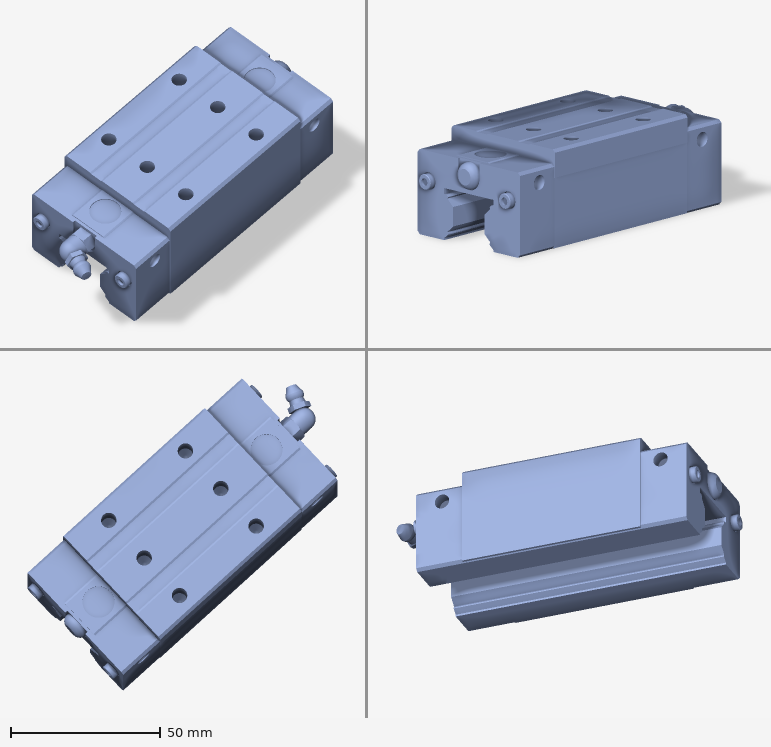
import cadquery as cq
import math


block_half_width = 24.0
block_length = 64.4
block_bottom = 0.3
block_top = 34.5
edge_chamfer = 1.0
side_relief = 0.2
side_relief_top = 24.8

groove_depth = 0.3
groove_wall_run = 0.7
groove_outer_edge = 12.5
strip_half_width = 6.9

cap_half_width = 23.6
cap_top = 29.5
body_length = 97.7
seal_thickness = 2.0
body_end = body_length / 2
seal_inner = body_end - seal_thickness

channel_half_width = 11.4
channel_top = 18.0
channel_ledge = 15.9
ledge_half_width = 10.4
rail_gap_half = 7.3
rail_gap_top = 12.2
rail_gap_bottom = 5.4
notch_root = 9.9
notch_lip = 9.6
upper_root_z = 14.6
upper_lip_z = 15.2
lower_root_z = 3.0
lower_lip_top = 2.5
lower_lip_bottom = 2.1
channel_mouth = 0.7

mount_diameter = 5.2
mount_depth = 9.0
mount_pitch_x = 17.5
mount_half_pitch_y = 17.5
drill_tip_angle = 118
oil_port_diameter = 10.7
oil_port_y = 38.3
oil_port_depth = 0.3
side_hole_diameter = 5.2
side_hole_y = 39.5
side_hole_z = 24.4
side_hole_depth = 4.5

port_z = 24.2
port_radius = 5.0
port_depth = 1.0
port_floor = body_end - port_depth

screw_x = 18.5
screw_z = 19.1
screw_radius = 2.7
screw_height = 2.1
screw_chamfer = 0.2
screw_hole_radius = 3.0
socket_radius = 1.4
socket_depth = 1.0

plug_radius = 4.7
plug_rim = 0.3
plug_end_radius = 2.8
plug_shoulder_radius = 4.2
plug_shoulder = 2.1
plug_end = body_end + screw_height

nut_corner_radius = 4.6
nut_end_radius = 4.2
nut_chamfer = 0.3
nut_length = 3.9
stem_radius = 3.9
elbow_y = -55.3
nipple_tilt = 22
flange_start = 3.4
flange_end = 5.2
flange_corner_radius = 3.9
neck_base_radius = 2.9
neck_end = 7.0
neck_radius = 2.5
head_radius = 3.2
head_shoulder = 7.9
head_shoulder_radius = 3.0
head_end = 9.0
tip_radius = 1.8
tip_end = 11.9


def along_y(points, start, end):
    """Extrude a closed XZ outline from Y = start to Y = end."""
    return cq.Workplane("XZ", origin=(0, start, 0)).polyline(points).close().extrude(start - end)


def chamfered_box(half_width, bottom, top, start, end, chamfered_edges):
    box = cq.Workplane("XY").box(2 * half_width, end - start, top - bottom)
    box = box.edges(chamfered_edges).chamfer(edge_chamfer)
    return box.translate((0, (start + end) / 2, (top + bottom) / 2))


def raised_strip(base, start, end):
    """Central strip with sloped flanks, standing one groove depth above its base."""
    foot = strip_half_width + groove_wall_run
    crest = base + groove_depth
    sunk = base - groove_depth
    outline = [
        (-foot, sunk),
        (foot, sunk),
        (foot, base),
        (strip_half_width, crest),
        (-strip_half_width, crest),
        (-foot, base),
    ]
    return along_y(outline, start, end)


def steel_block():
    half_length = block_length / 2
    block = chamfered_box(block_half_width, block_bottom, block_top, -half_length, half_length, "|Y and >Z")
    groove_floor = block_top - groove_depth
    for side in (-1, 1):
        groove = [
            (side * groove_outer_edge, block_top),
            (side * (groove_outer_edge - groove_wall_run), groove_floor),
            (side * (strip_half_width + groove_wall_run), groove_floor),
            (side * strip_half_width, block_top),
        ]
        block = block.cut(along_y(groove, -half_length, half_length))
    relief = cq.Workplane("XY").box(side_relief, block_length, side_relief_top, centered=(False, True, False))
    return block.cut(relief.translate((-block_half_width, 0, 0)))


def end_caps():
    caps = chamfered_box(cap_half_width, 0, cap_top, -body_end, body_end, "|Y")
    return caps.union(raised_strip(cap_top, -seal_inner, seal_inner))


def rail_channel():
    """Channel cutter: straight under the roof, pinched around the rail, notched at the ball tracks."""
    right_side = [
        (channel_half_width, channel_top),
        (channel_half_width, channel_ledge),
        (ledge_half_width, channel_ledge),
        (notch_lip, upper_lip_z),
        (notch_root, upper_root_z),
        (rail_gap_half, rail_gap_top),
        (rail_gap_half, rail_gap_bottom),
        (notch_root, lower_root_z),
        (notch_lip, lower_lip_top),
        (notch_lip, lower_lip_bottom),
        (channel_half_width, channel_mouth),
        (channel_half_width, 0),
    ]
    left_side = [(-x, z) for x, z in reversed(right_side)]
    return along_y(right_side + left_side, -body_end, body_end)


def mounting_holes():
    radius = mount_diameter / 2
    tip_height = radius / math.tan(math.radians(drill_tip_angle / 2))
    floor = block_top - mount_depth
    drill = (
        cq.Workplane("XZ")
        .polyline([(0, floor - tip_height), (radius, floor), (radius, block_top), (0, block_top)])
        .close()
        .revolve(360, (0, 0, 0), (0, 1, 0))
    )
    holes = cq.Workplane("XY")
    for x in (-mount_pitch_x, 0, mount_pitch_x):
        for y in (-mount_half_pitch_y, mount_half_pitch_y):
            holes = holes.add(drill.translate((x, y, 0)))
    return holes.combine()


def cap_holes():
    """Shallow round recesses on the raised strip and blind holes in both sides of the caps."""
    strip_top = cap_top + groove_depth
    recesses = (
        cq.Workplane("XY", origin=(0, 0, strip_top))
        .pushPoints([(0, -oil_port_y), (0, oil_port_y)])
        .circle(oil_port_diameter / 2)
        .extrude(-oil_port_depth)
    )
    for side in (-1, 1):
        recesses = recesses.union(
            cq.Workplane("YZ", origin=(side * cap_half_width, 0, 0))
            .pushPoints([(-side_hole_y, side_hole_z), (side_hole_y, side_hole_z)])
            .circle(side_hole_diameter / 2)
            .extrude(-side * side_hole_depth)
        )
    return recesses


def port_recess(end):
    """U-shaped recess, open at the top, in the seal at the given end (-1 or 1)."""
    recess = (
        cq.Workplane("XZ")
        .moveTo(-port_radius, cap_top)
        .lineTo(-port_radius, port_z)
        .threePointArc((0, port_z - port_radius), (port_radius, port_z))
        .lineTo(port_radius, cap_top)
        .close()
        .extrude(-port_depth)
    )
    return recess.translate((0, port_floor if end > 0 else -body_end, 0))


def seal_screw(x, end):
    """Round screw head with a chamfered rim and a round socket, standing on the clearance hole floor."""
    outer_face = ">Y" if end > 0 else "<Y"
    head = cq.Workplane("XZ").circle(screw_radius).extrude(-end * (port_depth + screw_height))
    head = head.faces(outer_face).edges().chamfer(screw_chamfer)
    head = head.faces(outer_face).workplane().circle(socket_radius).cutBlind(-socket_depth)
    return head.translate((x, end * port_floor, screw_z))


def screw_clearance(x, end):
    hole = cq.Workplane("XZ").circle(screw_hole_radius).extrude(-end * port_depth)
    return hole.translate((x, end * port_floor, screw_z))


def plug():
    """Domed plug turned about the port axis."""
    return (
        cq.Workplane("XY", origin=(0, 0, port_z))
        .moveTo(0, port_floor)
        .lineTo(plug_radius, port_floor)
        .lineTo(plug_radius, port_floor + plug_rim)
        .threePointArc((plug_shoulder_radius, port_floor + plug_shoulder), (plug_end_radius, plug_end))
        .lineTo(0, plug_end)
        .close()
        .revolve(360, (0, 0, 0), (0, 1, 0))
    )


def nipple_base():
    """Hexagon nut, round stem and ball elbow on the port axis."""
    nut_end = -port_floor - nut_length
    nut = cq.Workplane("XZ", origin=(0, -port_floor, port_z)).polygon(6, 2 * nut_corner_radius).extrude(nut_length)
    nut_envelope = (
        cq.Workplane("XY", origin=(0, 0, port_z))
        .polyline([
            (0, -port_floor),
            (nut_corner_radius, -port_floor),
            (nut_corner_radius, nut_end + nut_chamfer),
            (nut_end_radius, nut_end),
            (0, nut_end),
        ])
        .close()
        .revolve(360, (0, 0, 0), (0, 1, 0))
    )
    stem = cq.Workplane("XZ", origin=(0, nut_end, port_z)).circle(stem_radius).extrude(nut_end - elbow_y)
    ball = cq.Workplane("XY").sphere(stem_radius).translate((0, elbow_y, port_z))
    return nut.intersect(nut_envelope).union(stem).union(ball)


def nipple_spout():
    """Hexagon flange, tapered neck and coupling head, turned about X and then tilted."""
    spout = (
        cq.Workplane("XY")
        .moveTo(flange_start, 0)
        .lineTo(flange_start, neck_base_radius)
        .lineTo(flange_end, neck_base_radius)
        .lineTo(neck_end, neck_radius)
        .threePointArc((head_shoulder, head_shoulder_radius), (head_end, head_radius))
        .lineTo(tip_end, tip_radius)
        .lineTo(tip_end, 0)
        .close()
        .revolve(360, (0, 0, 0), (1, 0, 0))
    )
    flange = (
        cq.Workplane("YZ", origin=(flange_start, 0, 0))
        .polygon(6, 2 * flange_corner_radius)
        .extrude(flange_end - flange_start)
    )
    spout = spout.union(flange).rotate((0, 0, 0), (0, 0, 1), -nipple_tilt)
    return spout.translate((0, elbow_y, port_z))


carriage = steel_block().union(end_caps())
carriage = carriage.cut(rail_channel()).cut(mounting_holes()).cut(cap_holes())

for end in (-1, 1):
    carriage = carriage.cut(port_recess(end))
    for x in (-screw_x, screw_x):
        carriage = carriage.cut(screw_clearance(x, end)).union(seal_screw(x, end))

result = carriage.union(plug()).union(nipple_base()).union(nipple_spout())